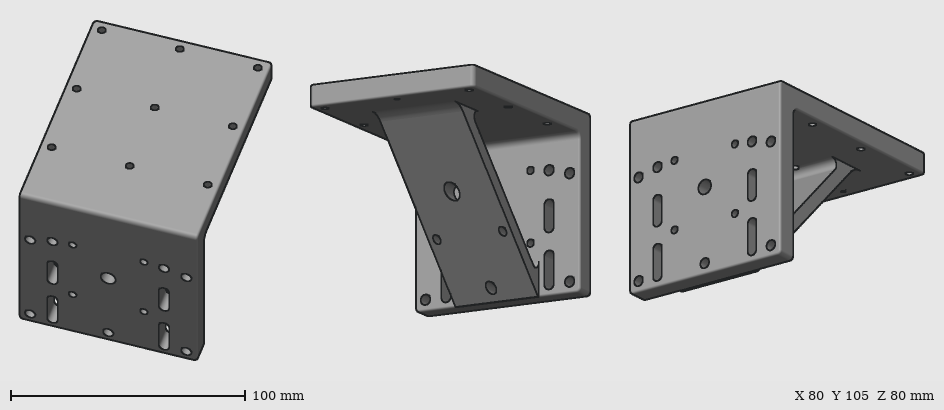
import cadquery as cq
import math

width = 80.0
length = 105.0
height = 80.0
plate = 10.0

front_y = -length / 2
rear_y = length / 2
top_z = height / 2
bottom_z = -height / 2
plate_back_y = front_y + plate
plate_under_z = top_z - plate

corner_radius = 2.0
edge_radius = 1.0
inner_radius = 3.0
brace_blend_radius = 10.0

brace_width = 40.0
brace_lower_offset = 1.7
brace_upper_offset = 10.5

screw_diameter = 4.6
small_diameter = 3.4
center_diameter = 6.7

edge_screw_x = 35.0
edge_screw_z = 12.6
low_screw_z = -35.0
slot_x = 25.0
slot_screw_z = 15.0
slot_ends_z = [(0.0, -10.0), (-22.5, low_screw_z)]
pattern_half = 16.0

top_pitch = 35.0
rear_hole_y = rear_y - 5.0
top_hole_overrun = 0.5
drill_tip_angle = 118.0
drill_tip_opening = 1.9


def make_plates():
    """L-shaped plate pair with rounded corners and softened outer edges."""
    body = (
        cq.Workplane("YZ")
        .moveTo(front_y, bottom_z)
        .lineTo(front_y, top_z)
        .lineTo(rear_y, top_z)
        .lineTo(rear_y, plate_under_z)
        .lineTo(plate_back_y, plate_under_z)
        .lineTo(plate_back_y, bottom_z)
        .close()
        .extrude(width / 2, both=True)
    )
    body = body.faces(">Y").edges("|Z").fillet(corner_radius)
    body = body.faces("<Z").edges("|Y").fillet(corner_radius)
    inner_corner = cq.selectors.NearestToPointSelector((0, plate_back_y, plate_under_z))
    body = body.edges("|X").edges(inner_corner).fillet(inner_radius)
    body = body.faces("<Y").edges(">Z").fillet(corner_radius)
    return body.faces("<X or >X").edges().fillet(edge_radius)


def make_brace():
    """Diagonal bar from the underside of the top plate to the foot of the front plate."""
    return (
        cq.Workplane("YZ")
        .moveTo(bottom_z - brace_lower_offset, bottom_z)
        .lineTo(plate_under_z - brace_lower_offset, plate_under_z)
        .lineTo(plate_under_z - brace_upper_offset, plate_under_z)
        .lineTo(plate_back_y, plate_back_y + brace_upper_offset)
        .lineTo(plate_back_y, bottom_z)
        .close()
        .extrude(brace_width / 2, both=True)
    )


def round_joint(body, y, z, radius):
    """Round the corner at (y, z) where the brace meets a plate."""
    joint = cq.selectors.NearestToPointSelector((0, y, z))
    return body.edges("|X").edges(joint).fillet(radius)


def front_holes(points, diameter, depth):
    """Round cutters running back from the front face at the given (x, z) points."""
    face = cq.Workplane("XZ", origin=(0, front_y, 0))
    return face.pushPoints(points).circle(diameter / 2).extrude(-depth)


def front_slots():
    """Upright slot cutters through the front plate."""
    slots = cq.Workplane("XZ", origin=(0, front_y, 0))
    upright = 90
    for upper_z, lower_z in slot_ends_z:
        centers = [(side * slot_x, (upper_z + lower_z) / 2) for side in (-1, 1)]
        slot_length = upper_z - lower_z + screw_diameter
        slots = slots.pushPoints(centers).slot2D(slot_length, screw_diameter, upright)
    return slots.extrude(-plate)


def top_holes(points):
    """Round cutters running down through the top plate at the given (x, y) points."""
    face = cq.Workplane("XY", origin=(0, 0, top_z))
    return face.pushPoints(points).circle(small_diameter / 2).extrude(-plate - top_hole_overrun)


def drilled_rear_hole():
    """Cutter for the rear middle hole, whose drill tip just breaks through the underside."""
    full_radius = small_diameter / 2
    opening_radius = drill_tip_opening / 2
    tip_height = (full_radius - opening_radius) / math.tan(math.radians(drill_tip_angle / 2))
    return (
        cq.Workplane("XZ", origin=(0, rear_hole_y, 0))
        .moveTo(0, plate_under_z)
        .lineTo(opening_radius, plate_under_z)
        .lineTo(full_radius, plate_under_z + tip_height)
        .lineTo(full_radius, top_z)
        .lineTo(0, top_z)
        .close()
        .revolve(360, (0, 0, 0), (0, 1, 0))
    )


bracket = make_plates().union(make_brace())
bracket = round_joint(bracket, plate_under_z - brace_lower_offset, plate_under_z, brace_blend_radius)
bracket = round_joint(bracket, plate_under_z - brace_upper_offset, plate_under_z, inner_radius)
bracket = round_joint(bracket, plate_back_y, plate_back_y + brace_upper_offset, inner_radius)

side_screws = []
for side in (-1, 1):
    side_screws.append((side * edge_screw_x, edge_screw_z))
    side_screws.append((side * edge_screw_x, low_screw_z))
    side_screws.append((side * slot_x, slot_screw_z))
upper_pattern = [(side * pattern_half, pattern_half) for side in (-1, 1)]
lower_pattern = [(side * pattern_half, -pattern_half) for side in (-1, 1)]

bracket = bracket.cut(front_holes(side_screws, screw_diameter, plate))
bracket = bracket.cut(front_slots())
bracket = bracket.cut(front_holes(upper_pattern, small_diameter, plate))

bracket = bracket.cut(front_holes(lower_pattern, small_diameter, length))
bracket = bracket.cut(front_holes([(0, low_screw_z)], screw_diameter, length))
bracket = bracket.cut(front_holes([(0, 0)], center_diameter, length))

grid = [(col * top_pitch, rear_hole_y - row * top_pitch) for col in (-1, 0, 1) for row in range(3)]
plain_holes = [point for point in grid if point != (0, rear_hole_y)]
bracket = bracket.cut(top_holes(plain_holes))
bracket = bracket.cut(drilled_rear_hole())

result = bracket